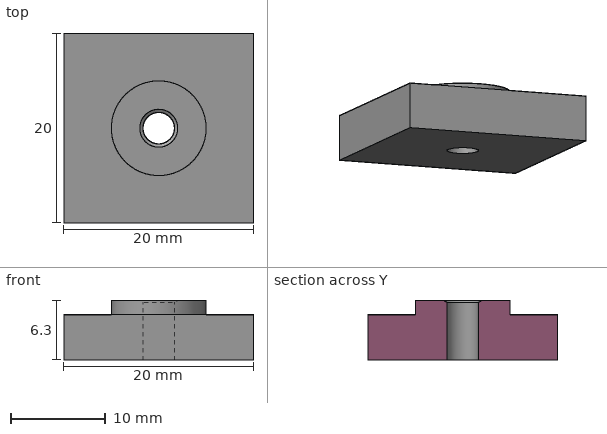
import cadquery as cq
import math

plate_side = 20.0
plate_thickness = 4.8

boss_diameter = 10.0
boss_height = 1.5

hole_diameter = 3.3
countersink_diameter = 4.0
countersink_angle = 120.0
countersink_depth = (countersink_diameter - hole_diameter) / 2 / math.tan(math.radians(countersink_angle / 2))

total_height = plate_thickness + boss_height


def make_plate():
    return cq.Workplane("XY").box(plate_side, plate_side, plate_thickness, centered=(True, True, False))


def make_boss():
    return cq.Workplane("XY", origin=(0, 0, plate_thickness)).circle(boss_diameter / 2).extrude(boss_height)


def make_hole():
    """Cutting tool: the straight bore, widened to a cone at its top end."""
    bore = cq.Workplane("XY").circle(hole_diameter / 2).extrude(total_height)
    cone = (
        cq.Workplane("XY", origin=(0, 0, total_height - countersink_depth))
        .circle(hole_diameter / 2)
        .workplane(offset=countersink_depth)
        .circle(countersink_diameter / 2)
        .loft(combine=True)
    )
    return bore.union(cone)


result = make_plate().union(make_boss()).cut(make_hole())